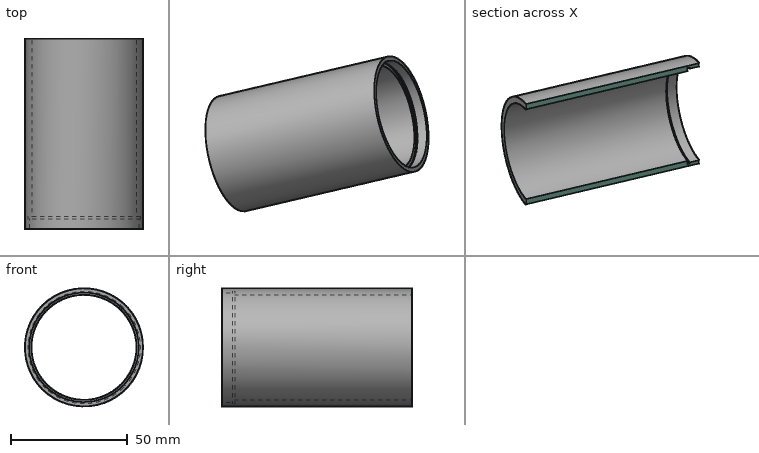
import cadquery as cq

OUTER_DIAMETER = 50.8
BORE_DIAMETER = 45.0
COUNTERBORE_DIAMETER = 47.0
LENGTH = 81.7
COUNTERBORE_DEPTH = 5.5
GROOVE_DIAMETER = 48.2
GROOVE_WIDTH = 1.0


def rod_along_y(diameter, start, length):
    """Solid cylinder on the Y axis, running from Y = start toward +Y."""
    return cq.Workplane("XZ", origin=(0, start, 0)).circle(diameter / 2).extrude(-length)


def make_sleeve():
    """Plain through-bored tube with its front end at Y = 0."""
    body = rod_along_y(OUTER_DIAMETER, 0, LENGTH)
    bore = rod_along_y(BORE_DIAMETER, 0, LENGTH)
    return body.cut(bore)


def cut_counterbore(sleeve):
    """Shallow seat opening at the front (-Y) end."""
    return sleeve.cut(rod_along_y(COUNTERBORE_DIAMETER, 0, COUNTERBORE_DEPTH))


def cut_relief_groove(sleeve):
    """Shallow undercut around the bottom of the counterbore, against its shoulder."""
    groove_start = COUNTERBORE_DEPTH - GROOVE_WIDTH
    return sleeve.cut(rod_along_y(GROOVE_DIAMETER, groove_start, GROOVE_WIDTH))


result = make_sleeve()
result = cut_counterbore(result)
result = cut_relief_groove(result)